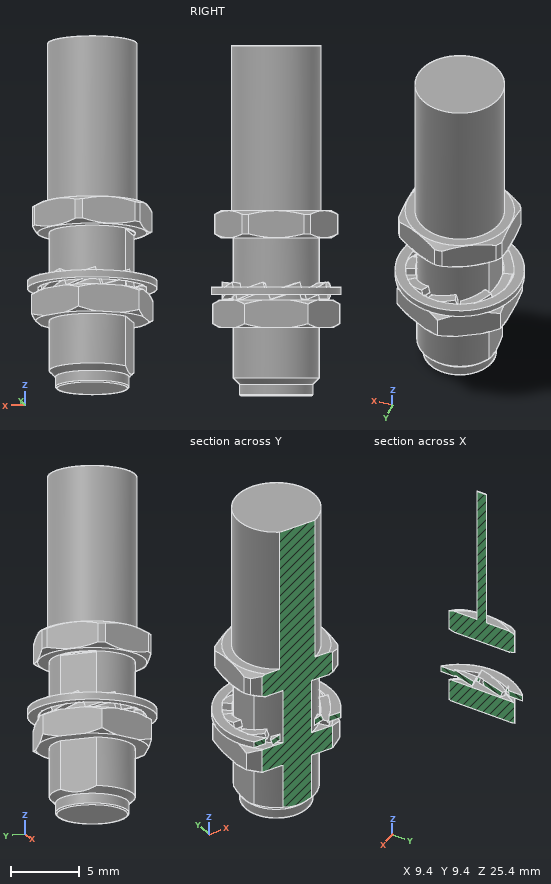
import cadquery as cq
import math

total_height = 25.4
sleeve_radius = 3.25
barrel_radius = 3.12
nose_radius = 2.67
nose_length = 0.85
nose_chamfer = 0.1
shoulder_chamfer = barrel_radius - nose_radius

flat_distance = 2.8
flat_stop_gap = 0.08

hex_across_flats = 8.0
hex_height = 2.0
hex_bevel_angle = 30.0
upper_hex_bottom = 11.45
upper_hex_corner_radius = 4.47
upper_hex_end_radius = 3.95
lower_hex_bottom = 4.95
lower_hex_corner_radius = hex_across_flats / 3 ** 0.5
lower_hex_end_radius = 4.11

washer_radius = 4.7
washer_bore_radius = 3.94
washer_thickness = 0.53
washer_mid_height = 7.62
tooth_count = 9
tooth_pitch = 360 / tooth_count
tooth_span = 36.0
tooth_tilt = 18.0
tooth_inner_radius = 3.22
first_tooth_angle = 9.8


def disc(radius, bottom, height):
    return cq.Workplane("XY").workplane(offset=bottom).circle(radius).extrude(height)


def chamfered_hexagon(bottom, corner_radius, end_radius):
    """Hexagon with two flats facing X, its corners turned down and bevelled at both ends."""
    top = bottom + hex_height
    bevel_drop = (corner_radius - end_radius) * math.tan(math.radians(hex_bevel_angle))
    prism = (
        cq.Workplane("XY")
        .workplane(offset=bottom)
        .polygon(6, hex_across_flats, circumscribed=True)
        .extrude(hex_height)
    )
    turned_envelope = (
        cq.Workplane("XZ")
        .moveTo(0, bottom)
        .lineTo(end_radius, bottom)
        .lineTo(corner_radius, bottom + bevel_drop)
        .lineTo(corner_radius, top - bevel_drop)
        .lineTo(end_radius, top)
        .lineTo(0, top)
        .close()
        .revolve(360, (0, 0, 0), (0, 1, 0))
    )
    return prism.intersect(turned_envelope)


def make_turned_core():
    """Nose, shoulder and barrel, with the sleeve above the upper hexagon."""
    return (
        cq.Workplane("XZ")
        .lineTo(nose_radius - nose_chamfer, 0)
        .lineTo(nose_radius, nose_chamfer)
        .lineTo(nose_radius, nose_length)
        .lineTo(barrel_radius, nose_length + shoulder_chamfer)
        .lineTo(barrel_radius, upper_hex_bottom)
        .lineTo(sleeve_radius, upper_hex_bottom)
        .lineTo(sleeve_radius, total_height)
        .lineTo(0, total_height)
        .close()
        .revolve(360, (0, 0, 0), (0, 1, 0))
    )


def make_flat_cutter():
    """Block that takes away everything beyond the flat, below the upper hexagon."""
    return cq.Workplane("XY").box(
        barrel_radius,
        2 * barrel_radius,
        upper_hex_bottom - flat_stop_gap,
        centered=(False, True, False),
    ).translate((-flat_distance - barrel_radius, 0, 0))


def make_connector():
    core = make_turned_core().cut(make_flat_cutter())
    upper_hex = chamfered_hexagon(upper_hex_bottom, upper_hex_corner_radius, upper_hex_end_radius)
    lower_hex = chamfered_hexagon(lower_hex_bottom, lower_hex_corner_radius, lower_hex_end_radius)
    return core.union(upper_hex).union(lower_hex)


def make_tooth():
    """Wedge plate on the X axis, twisted about that axis and trimmed to the bore of the ring."""
    half_width = washer_radius * math.tan(math.radians(tooth_span / 2))
    twisted_plate = (
        cq.Workplane("XY")
        .workplane(offset=-washer_thickness / 2)
        .polyline([(0, 0), (washer_radius, -half_width), (washer_radius, half_width)])
        .close()
        .extrude(washer_thickness)
        .rotate((0, 0, 0), (1, 0, 0), tooth_tilt)
    )
    trim_height = 3 * washer_thickness
    trim_ring = disc(washer_bore_radius, -trim_height / 2, trim_height).cut(
        disc(tooth_inner_radius, -trim_height / 2, trim_height)
    )
    return twisted_plate.intersect(trim_ring)


def make_washer():
    washer = disc(washer_radius, -washer_thickness / 2, washer_thickness).cut(
        disc(washer_bore_radius, -washer_thickness / 2, washer_thickness)
    )
    tooth = make_tooth()
    for index in range(tooth_count):
        angle = first_tooth_angle + index * tooth_pitch
        washer = washer.union(tooth.rotate((0, 0, 0), (0, 0, 1), angle))
    return washer.translate((0, 0, washer_mid_height))


connector = make_connector()
washer = make_washer()

result = cq.Compound.makeCompound([connector.val(), washer.val()])